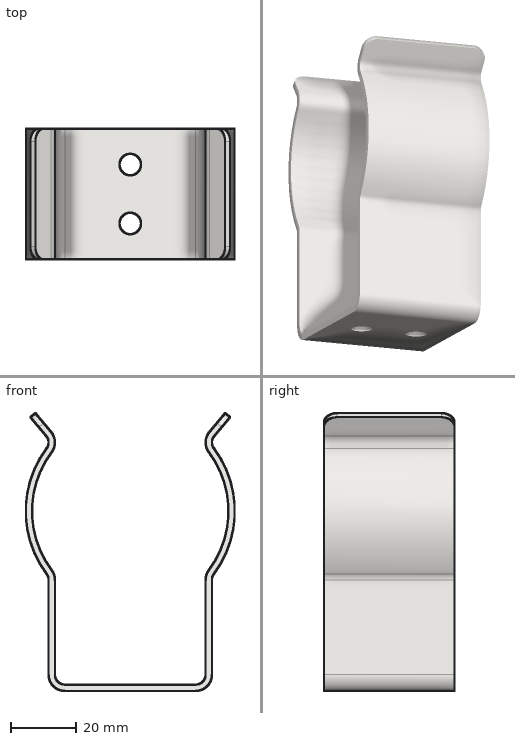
import cadquery as cq
import math

thickness = 2.0
strip_width = 40.0
total_height = 85.0

bend_inner_radius = 3.0
bend_outer_radius = bend_inner_radius + thickness

base_width = 50.0
corner_centre = (base_width / 2 - bend_outer_radius, bend_outer_radius)

seat_radius = 30.0
seat_centre = (0.0, 55.0)

neck_x = base_width / 2 + bend_inner_radius
neck_reach = seat_radius + bend_outer_radius
seat_half_angle = math.degrees(math.acos(neck_x / neck_reach))
neck_rise = math.sqrt(neck_reach**2 - neck_x**2)
lower_neck_centre = (neck_x, seat_centre[1] - neck_rise)
upper_neck_centre = (neck_x, seat_centre[1] + neck_rise)

lip_angle = 40.0
lip_corner_radius = 4.0
lip_lean = math.radians(lip_angle)
lip_length = (
    total_height - upper_neck_centre[1] - bend_outer_radius * math.sin(lip_lean)
) / math.cos(lip_lean)

hole_diameter = 6.5
hole_spacing = 18.0

meeting_tolerance = 1e-6


def polar_point(centre, radius, angle):
    """Point on a circle, with the angle in degrees."""
    turn = math.radians(angle)
    return (centre[0] + radius * math.cos(turn), centre[1] + radius * math.sin(turn))


def arc_points(centre, radius, start_angle, end_angle):
    """Start, middle and end points of an arc."""
    middle_angle = (start_angle + end_angle) / 2
    return [polar_point(centre, radius, angle) for angle in (start_angle, middle_angle, end_angle)]


def face_arcs(depth):
    """Arcs of one strip face from base to lip; depth is measured from the inner face."""
    neck_radius = bend_outer_radius - depth
    return [
        arc_points(corner_centre, bend_inner_radius + depth, -90, 0),
        arc_points(lower_neck_centre, neck_radius, 180, 180 - seat_half_angle),
        arc_points(seat_centre, seat_radius + depth, -seat_half_angle, seat_half_angle),
        arc_points(upper_neck_centre, neck_radius, 180 + seat_half_angle, 180 - lip_angle),
    ]


def lip_end(neck_end):
    """Free end of the straight lip that continues from a neck bend."""
    return (
        neck_end[0] + lip_length * math.sin(lip_lean),
        neck_end[1] + lip_length * math.cos(lip_lean),
    )


def draw_arcs(outline, arcs):
    """Join arcs in order, with straight runs only where successive arcs do not meet."""
    previous_end = None
    for start, middle, end in arcs:
        if previous_end is None or math.dist(previous_end, start) > meeting_tolerance:
            outline = outline.lineTo(*start)
        outline = outline.threePointArc(middle, end)
        previous_end = end
    return outline


def make_half_strip():
    """Right half of the bent strip, from the middle of the base to the lip."""
    inner_arcs = face_arcs(0)
    outer_arcs = face_arcs(thickness)
    returning_arcs = [arc[::-1] for arc in reversed(outer_arcs)]

    outline = cq.Workplane("XZ").moveTo(0, thickness)
    outline = draw_arcs(outline, inner_arcs)
    outline = outline.lineTo(*lip_end(inner_arcs[-1][-1]))
    outline = outline.lineTo(*lip_end(outer_arcs[-1][-1]))
    outline = draw_arcs(outline, returning_arcs)
    outline = outline.lineTo(0, 0).close()
    return outline.extrude(strip_width / 2, both=True)


def round_lip_corners(half_strip):
    """Round the two free corners of the lip, through the sheet thickness."""
    across_lip = cq.Vector(-math.cos(lip_lean), 0, math.sin(lip_lean))
    lip_corners = half_strip.edges(cq.selectors.ParallelDirSelector(across_lip))
    return lip_corners.fillet(lip_corner_radius)


def drill_mounting_holes(clip):
    """Cut the mounting holes through the base, in a row along Y."""
    hole_centres = [(0, -hole_spacing / 2), (0, hole_spacing / 2)]
    holes = (
        cq.Workplane("XY")
        .pushPoints(hole_centres)
        .circle(hole_diameter / 2)
        .extrude(thickness)
    )
    return clip.cut(holes)


right_half = round_lip_corners(make_half_strip())
clip_body = right_half.union(right_half.mirror("YZ"))
result = drill_mounting_holes(clip_body)